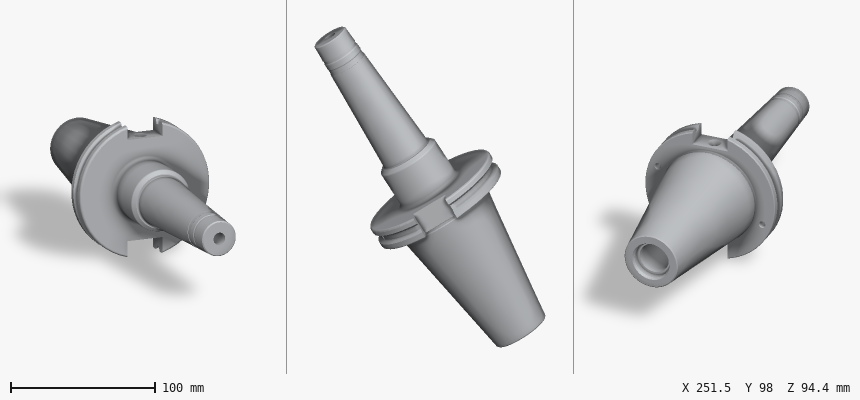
import cadquery as cq
import math

TOTAL_LENGTH = 251.5
GAUGE_X = 101.6
FLANGE_X = 104.7
FLANGE_END_X = 120.8
COLLAR_CHAMFER_X = 148.7
NECK_X = 151.5

TAPER_SMALL_DIA = 40.3
TAPER_LARGE_DIA = 70.0
TAPER_END_CHAMFER = 0.8
RELIEF_DIA = 69.2
RELIEF_CHAMFER = 0.8
RELIEF_FILLET = 0.8

FLANGE_DIA = 98.0
FLANGE_FRONT_FILLET = 0.8
FLANGE_BACK_FILLET = 1.5
GROOVE_DEPTH = 3.3
GROOVE_FLOOR_WIDTH = 3.5
GROOVE_FLANK_ANGLE = 30.0

COLLAR_DIA = 44.5
COLLAR_FILLET = 2.8
COLLAR_CHAMFER_DIA = 39.2
COLLAR_EDGE_FILLET = 1.3
NECK_DIA = 35.7
NECK_FILLET = 0.8
NOSE_DIA = 25.5
NOSE_CHAMFER = 0.8

FIRST_RING_X = 228.2
BAND_X = 232.7
BAND_END_X = 236.8
SECOND_RING_END_X = 239.5
RING_RAMP = 0.8
RING_DEPTH = 0.38

MOUTH_DIA = 28.2
MOUTH_DEPTH = 2.0
PILOT_DIA = 26.2
PILOT_DEPTH = 6.0
BORE_DIA = 22.0
BORE_DEPTH = 45.3
DRILL_POINT_ANGLE = 118.0
THROUGH_DIA = 8.8

SLOT_WIDTH = 26.2
TOP_SLOT_FLOOR = 37.7
BOTTOM_SLOT_FLOOR = 35.5
DIMPLE_DIA = 9.5

COOLANT_CIRCLE_RADIUS = 42.0
COOLANT_ANGLE = 20.4
AXIAL_HOLE_DIA = 4.0
COUNTERSINK_DIA = 5.0
RADIAL_HOLE_DIA = 4.0

FLANGE_MID_X = (FLANGE_X + FLANGE_END_X) / 2


def drill_point_length(diameter):
    return diameter / 2 / math.tan(math.radians(DRILL_POINT_ANGLE / 2))


def nose_radius(x):
    """Radius of the tapered nose at station x."""
    share = (x - NECK_X) / (TOTAL_LENGTH - NECK_X)
    return (NECK_DIA + share * (NOSE_DIA - NECK_DIA)) / 2


def corner_arc(profile, corner, start, end):
    """Round a square profile corner from start to end, both one radius away from it."""
    profile = profile.lineTo(*start)
    center = (start[0] + end[0] - corner[0], start[1] + end[1] - corner[1])
    share = math.sqrt(0.5)
    middle = (center[0] + share * (corner[0] - center[0]), center[1] + share * (corner[1] - center[1]))
    return profile.threePointArc(middle, end)


def round_into_wall(profile, x, r, radius, rise):
    """Round from a cylinder of radius r into the wall at x; rise is +1 for a wall going out, -1 for in."""
    return corner_arc(profile, (x, r), (x - radius, r), (x, r + rise * radius))


def round_from_wall(profile, x, r, radius, rise):
    """Round from the wall at x onto a cylinder of radius r; rise is +1 for a wall above it, -1 for below."""
    return corner_arc(profile, (x, r), (x, r + rise * radius), (x + radius, r))


def make_body():
    """Revolve the outer profile about the X axis."""
    flange_r = FLANGE_DIA / 2
    relief_r = RELIEF_DIA / 2
    collar_r = COLLAR_DIA / 2
    groove_floor_half = GROOVE_FLOOR_WIDTH / 2
    groove_mouth_half = groove_floor_half + GROOVE_DEPTH * math.tan(math.radians(GROOVE_FLANK_ANGLE))

    profile = (
        cq.Workplane("XY")
        .moveTo(0, 0)
        .lineTo(0, TAPER_SMALL_DIA / 2 - TAPER_END_CHAMFER)
        .lineTo(TAPER_END_CHAMFER, TAPER_SMALL_DIA / 2)
        .lineTo(GAUGE_X, TAPER_LARGE_DIA / 2)
        .lineTo(GAUGE_X + RELIEF_CHAMFER, relief_r)
    )
    profile = round_into_wall(profile, FLANGE_X, relief_r, RELIEF_FILLET, 1)

    profile = round_from_wall(profile, FLANGE_X, flange_r, FLANGE_FRONT_FILLET, -1)
    profile = (
        profile.lineTo(FLANGE_MID_X - groove_mouth_half, flange_r)
        .lineTo(FLANGE_MID_X - groove_floor_half, flange_r - GROOVE_DEPTH)
        .lineTo(FLANGE_MID_X + groove_floor_half, flange_r - GROOVE_DEPTH)
        .lineTo(FLANGE_MID_X + groove_mouth_half, flange_r)
    )
    profile = round_into_wall(profile, FLANGE_END_X, flange_r, FLANGE_BACK_FILLET, -1)

    profile = round_from_wall(profile, FLANGE_END_X, collar_r, COLLAR_FILLET, 1)
    profile = profile.lineTo(COLLAR_CHAMFER_X, collar_r).lineTo(NECK_X, COLLAR_CHAMFER_DIA / 2)

    profile = round_from_wall(profile, NECK_X, NECK_DIA / 2, NECK_FILLET, 1)
    ring_points = (
        (FIRST_RING_X, 0),
        (FIRST_RING_X, RING_DEPTH),
        (BAND_X - RING_RAMP, RING_DEPTH),
        (BAND_X, 0),
        (BAND_END_X, 0),
        (BAND_END_X + RING_RAMP, RING_DEPTH),
        (SECOND_RING_END_X, RING_DEPTH),
        (SECOND_RING_END_X, 0),
    )
    for x, depth in ring_points:
        profile = profile.lineTo(x, nose_radius(x) - depth)
    chamfer_x = TOTAL_LENGTH - NOSE_CHAMFER
    profile = (
        profile.lineTo(chamfer_x, nose_radius(chamfer_x))
        .lineTo(TOTAL_LENGTH, NOSE_DIA / 2 - NOSE_CHAMFER)
        .lineTo(TOTAL_LENGTH, 0)
        .close()
    )
    body = profile.revolve(360, (0, 0, 0), (1, 0, 0))

    collar_edge = cq.selectors.NearestToPointSelector((COLLAR_CHAMFER_X, 0, 0))
    return body.edges("%CIRCLE").edges(collar_edge).fillet(COLLAR_EDGE_FILLET)


def make_bore():
    """Stepped bore from the taper end, narrowing to the through hole."""
    cone_length = drill_point_length(BORE_DIA) - drill_point_length(THROUGH_DIA)
    return (
        cq.Workplane("XY")
        .moveTo(0, 0)
        .lineTo(0, MOUTH_DIA / 2)
        .lineTo(MOUTH_DEPTH, PILOT_DIA / 2)
        .lineTo(PILOT_DEPTH, PILOT_DIA / 2)
        .lineTo(PILOT_DEPTH, BORE_DIA / 2)
        .lineTo(BORE_DEPTH, BORE_DIA / 2)
        .lineTo(BORE_DEPTH + cone_length, THROUGH_DIA / 2)
        .lineTo(TOTAL_LENGTH, THROUGH_DIA / 2)
        .lineTo(TOTAL_LENGTH, 0)
        .close()
        .revolve(360, (0, 0, 0), (1, 0, 0))
    )


def make_slot(floor, side):
    """Drive slot across the flange; side is +1 for the top and -1 for the bottom."""
    depth = FLANGE_DIA / 2 - floor
    mid_z = side * (floor + depth / 2)
    slot = cq.Workplane("XY").box(FLANGE_END_X - FLANGE_X, SLOT_WIDTH, depth)
    return slot.translate((FLANGE_MID_X, 0, mid_z))


def make_dimple():
    """Conical drill mark in the floor of the top slot."""
    length = drill_point_length(DIMPLE_DIA)
    return cq.Workplane(
        cq.Solid.makeCone(
            DIMPLE_DIA / 2, 0, length, cq.Vector(FLANGE_MID_X, 0, TOP_SLOT_FLOOR), cq.Vector(0, 0, -1)
        )
    )


def make_coolant_passage(angle_degrees):
    """Countersunk axial hole from the flange face meeting a radial hole from the V groove."""
    angle = math.radians(angle_degrees)
    outward = cq.Vector(0, math.cos(angle), math.sin(angle))
    axial_start = outward * COOLANT_CIRCLE_RADIUS + cq.Vector(FLANGE_X, 0, 0)
    radial_start = outward * COOLANT_CIRCLE_RADIUS + cq.Vector(FLANGE_MID_X, 0, 0)
    inward = cq.Vector(1, 0, 0)
    axial = cq.Solid.makeCylinder(AXIAL_HOLE_DIA / 2, FLANGE_MID_X - FLANGE_X, axial_start, inward)
    radial_length = FLANGE_DIA / 2 - COOLANT_CIRCLE_RADIUS
    radial = cq.Solid.makeCylinder(RADIAL_HOLE_DIA / 2, radial_length, radial_start, outward)
    countersink_depth = (COUNTERSINK_DIA - AXIAL_HOLE_DIA) / 2
    countersink = cq.Solid.makeCone(
        COUNTERSINK_DIA / 2, AXIAL_HOLE_DIA / 2, countersink_depth, axial_start, inward
    )
    return cq.Workplane(axial).union(cq.Workplane(radial)).union(cq.Workplane(countersink))


result = make_body().cut(make_bore())
result = result.cut(make_slot(TOP_SLOT_FLOOR, 1))
result = result.cut(make_slot(BOTTOM_SLOT_FLOOR, -1))
result = result.cut(make_dimple())
for passage_angle in (COOLANT_ANGLE, COOLANT_ANGLE + 180):
    result = result.cut(make_coolant_passage(passage_angle))